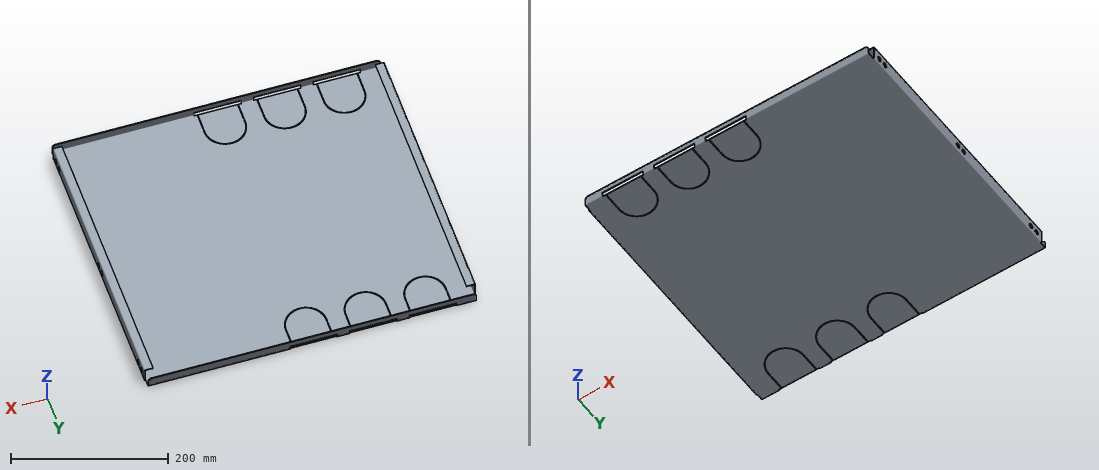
import cadquery as cq

length = 443.5
width = 394.0
height = 22.0
sheet = 1.5
bend_inner = 0.5
bend_outer = bend_inner + sheet

wall_span = 372.5
lip_width = 12.0

flange_height = 15.0
flange_corner = 5.8
flange_span = length - 2 * bend_outer

hole_diameter = 7.0
hole_height = 9.0
hole_pitch = 12.5
hole_pair_centers = (-168.5, 6.0, 168.5)

knockout_first_x = -161.5
knockout_pitch = 80.0
knockout_count = 3
knockout_width = 55.0
knockout_depth = 58.5
cut_width = 1.0
bridge_width = 1.8
bridge_offset = 26.0

window_width = 63.0
window_top = 6.0


def make_floor():
    return cq.Workplane("XY").box(
        flange_span, width - 2 * bend_outer, sheet, centered=(True, True, False)
    )


def make_side_wall():
    """Wall at -X with its floor bend, lip and lip bend."""
    outer_x = -length / 2
    floor_x = outer_x + bend_outer
    lip_bottom = height - sheet
    profile = (
        cq.Workplane("XZ")
        .moveTo(floor_x, 0)
        .radiusArc((outer_x, bend_outer), bend_outer)
        .lineTo(outer_x, height - bend_outer)
        .radiusArc((floor_x, height), bend_outer)
        .lineTo(outer_x + lip_width, height)
        .lineTo(outer_x + lip_width, lip_bottom)
        .lineTo(floor_x, lip_bottom)
        .radiusArc((outer_x + sheet, height - bend_outer), -bend_inner)
        .lineTo(outer_x + sheet, bend_outer)
        .radiusArc((floor_x, sheet), -bend_inner)
        .close()
    )
    return profile.extrude(wall_span / 2, both=True)


def make_flange():
    """Flange at -Y with its floor bend and rounded upper corners."""
    outer_y = -width / 2
    floor_y = outer_y + bend_outer
    flange = (
        cq.Workplane("YZ")
        .moveTo(floor_y, 0)
        .radiusArc((outer_y, bend_outer), bend_outer)
        .lineTo(outer_y, flange_height)
        .lineTo(outer_y + sheet, flange_height)
        .lineTo(outer_y + sheet, bend_outer)
        .radiusArc((floor_y, sheet), -bend_inner)
        .close()
        .extrude(flange_span / 2, both=True)
    )
    return flange.faces(">Z").edges("|Y").fillet(flange_corner)


def tab_outline(tab_width, round_end_y):
    """Straight-sided tab with a full round end, open toward the flange at -Y."""
    radius = tab_width / 2
    start_y = -width / 2
    return (
        cq.Workplane("XY")
        .moveTo(-radius, start_y)
        .lineTo(-radius, round_end_y - radius)
        .threePointArc((0, round_end_y), (radius, round_end_y - radius))
        .lineTo(radius, start_y)
        .close()
        .extrude(sheet)
    )


def make_knockout_cut():
    """Material removed for one knockout at the -Y flange, centred on X = 0, with its flange window."""
    round_end_y = -width / 2 + knockout_depth
    outside = tab_outline(knockout_width, round_end_y)
    tab = tab_outline(knockout_width - 2 * cut_width, round_end_y - cut_width)
    bridges = cq.Workplane("XY").box(
        2 * knockout_width, bridge_width, 2 * sheet
    ).translate((0, -width / 2 + bridge_offset, 0))
    window = cq.Workplane("XY").box(
        window_width, 2 * bend_outer, 2 * window_top
    ).translate((0, -width / 2, 0))
    return outside.cut(tab).cut(bridges).union(window)


def make_holes():
    """Pairs of round holes along Y, running through both side walls."""
    centers = [
        (pair_y + side * hole_pitch / 2, hole_height)
        for pair_y in hole_pair_centers
        for side in (-1, 1)
    ]
    return (
        cq.Workplane("YZ")
        .pushPoints(centers)
        .circle(hole_diameter / 2)
        .extrude(length, both=True)
    )


side_wall = make_side_wall()
flange = make_flange()
tray = (
    make_floor()
    .union(side_wall)
    .union(side_wall.mirror("YZ"))
    .union(flange)
    .union(flange.mirror("XZ"))
    .cut(make_holes())
)

knockout_cut = make_knockout_cut()
for index in range(knockout_count):
    front_cut = knockout_cut.translate((knockout_first_x + index * knockout_pitch, 0, 0))
    tray = tray.cut(front_cut).cut(front_cut.mirror("XZ"))

result = tray